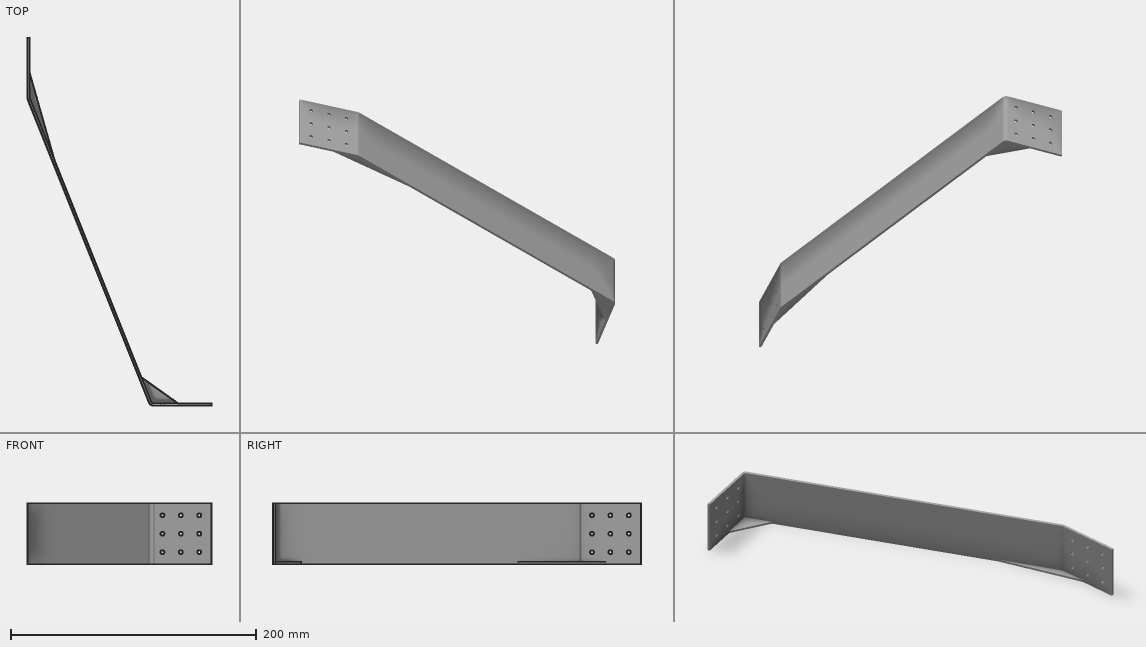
import cadquery as cq
import math

width_x = 150.0
length_y = 300.0
height = 50.0

thickness = 2.0
inner_bend_radius = 2.0
outer_bend_radius = inner_bend_radius + thickness

flange_length = 50.0
bend_x = width_x - flange_length
bend_y = length_y - flange_length

hole_diameter = 3.0
hole_pitch = 15.0
hole_end_margin = 10.0
holes_per_side = 3

gusset_leg = 20.0
gusset_thickness = 2.0

bottom_z = -height / 2

web_length = math.hypot(bend_x, bend_y)
web_slope_x = bend_x / web_length
web_slope_y = bend_y / web_length
rear_bend_angle = math.atan2(bend_x, bend_y)
front_bend_angle = math.pi / 2 - rear_bend_angle

web_shift_x = thickness / web_slope_y
web_shift_y = thickness / web_slope_x


def web_inner_x(y):
    """X of the inner face of the slanted web at a given Y."""
    return bend_x * (1 - y / bend_y) + web_shift_x


def web_inner_y(x):
    """Y of the inner face of the slanted web at a given X."""
    return bend_y * (1 - x / bend_x) + web_shift_y


front_inner = (web_inner_x(thickness), thickness)
rear_inner = (thickness, web_inner_y(thickness))


def bottom_profile():
    """Sketch plane at the bottom edge of the part."""
    return cq.Workplane("XY").workplane(offset=bottom_z)


def round_bend(strip, corner, radius):
    """Fillet the upright edge nearest to a corner of the strip outline."""
    nearest_edge = cq.selectors.NearestToPointSelector((corner[0], corner[1], 0))
    return strip.edges("|Z").edges(nearest_edge).fillet(radius)


def make_strip():
    """Bent strip: front flange, slanted web and rear flange."""
    outline = [
        (width_x, 0),
        (bend_x, 0),
        (0, bend_y),
        (0, length_y),
        (thickness, length_y),
        rear_inner,
        front_inner,
        (width_x, thickness),
    ]
    strip = bottom_profile().polyline(outline).close().extrude(height)
    for outer, inner in [((bend_x, 0), front_inner), ((0, bend_y), rear_inner)]:
        strip = round_bend(strip, outer, outer_bend_radius)
        strip = round_bend(strip, inner, inner_bend_radius)
    return strip


def make_gusset(corner, flange_point, web_point):
    """Triangular plate joining a flange to the web."""
    return bottom_profile().polyline([corner, flange_point, web_point]).close().extrude(gusset_thickness)


def make_front_gusset():
    arc_setback = inner_bend_radius * math.tan(front_bend_angle / 2)
    flange_point = (front_inner[0] + arc_setback + gusset_leg, thickness)
    web_y = thickness + arc_setback * web_slope_y + gusset_leg
    return make_gusset(front_inner, flange_point, (web_inner_x(web_y), web_y))


def make_rear_gusset():
    arc_setback = inner_bend_radius * math.tan(rear_bend_angle / 2)
    flange_point = (thickness, rear_inner[1] + arc_setback + gusset_leg)
    web_x = thickness + arc_setback * web_slope_x + gusset_leg
    return make_gusset(rear_inner, flange_point, (web_x, web_inner_y(web_x)))


def make_holes(flange_plane, free_end):
    """Square grid of flange holes, set out from the free end of the flange."""
    rows_centre = (holes_per_side - 1) / 2
    centres = []
    for column in range(holes_per_side):
        along = free_end - hole_end_margin - column * hole_pitch
        for row in range(holes_per_side):
            centres.append((along, (row - rows_centre) * hole_pitch))
    return cq.Workplane(flange_plane).pushPoints(centres).circle(hole_diameter / 2).extrude(thickness)


front_flange_plane = cq.Plane(origin=(0, 0, 0), xDir=(1, 0, 0), normal=(0, 1, 0))
rear_flange_plane = cq.Plane(origin=(0, 0, 0), xDir=(0, 1, 0), normal=(1, 0, 0))

result = make_strip().union(make_front_gusset()).union(make_rear_gusset())
result = result.cut(make_holes(front_flange_plane, width_x))
result = result.cut(make_holes(rear_flange_plane, length_y))